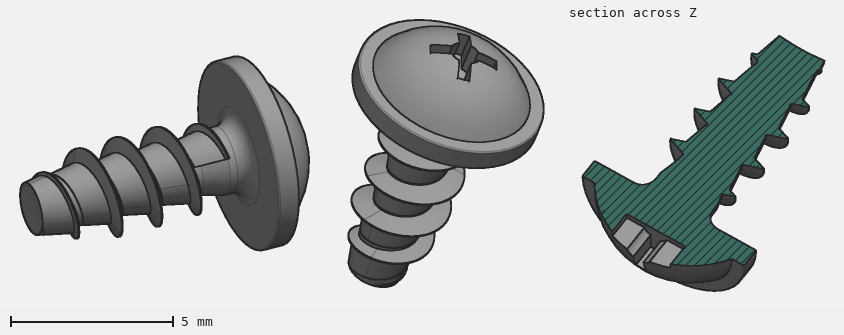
import cadquery as cq
import math


flange_radius = 3.0
flange_height = 0.7
flange_edge_round = 0.05
dome_radius = 3.0
dome_rise = 1.405

recess_radius = 1.08
recess_core_radius = 0.46
recess_wing_width = 0.38
recess_depth = 1.0

shank_length = 7.0
neck_radius = 1.06
neck_end = 0.755
neck_taper = math.tan(math.radians(13))
underhead_fillet = 0.5
core_radius = 0.868
core_end_radius = 0.83
core_end_length = 0.2
tip_radius = 0.835
tip_rim_width = 0.07
tip_dish_depth = 0.05
core_taper = math.tan(math.radians(10.5))

pitch = 1.34
crest_radius = 1.5
half_crest = 0.02
flank_slope = 0.36
thread_foot_radius = 0.8
start_angle = math.radians(36)
start_depth = 0.754
run_in_turns = 0.9
full_turns = 2.25
run_out_turns = 1.5
run_in_radius = 1.2
run_out_radius = 0.84
thread_turns = run_in_turns + full_turns + run_out_turns
segments = 10
thread_stations = [thread_turns * i / segments for i in range(segments + 1)]

ridge_radius = 1.08
ridge_end = 1.05

samples_per_turn = 24
overlap = 0.2


def on_axis(depth):
    """XZ plane placed at the given depth below the flange."""
    return cq.Workplane("XZ", origin=(0, -depth, 0))


def half_section():
    """Plane with radius (toward +Z) as local x and Y as local y."""
    return cq.Workplane(cq.Plane(origin=(0, 0, 0), xDir=(0, 0, 1), normal=(-1, 0, 0)))


def revolve(profile):
    """Turn a closed (radius, Y) profile about the Y axis."""
    return profile.close().revolve(360, (0, 0, 0), (0, 1, 0))


def make_head():
    flange = revolve(
        half_section()
        .lineTo(flange_radius, 0)
        .lineTo(flange_radius, flange_height)
        .lineTo(0, flange_height)
    )
    flange = flange.edges("%CIRCLE").fillet(flange_edge_round)
    apex = flange_height + dome_rise
    ball = cq.Workplane("XY").sphere(dome_radius).translate((0, apex - dome_radius, 0))
    dome_side = 2 * dome_radius
    above_flange = cq.Workplane("XY").box(dome_side, dome_rise, dome_side).translate(
        (0, flange_height + dome_rise / 2, 0)
    )
    head = flange.union(ball.intersect(above_flange))
    return head.cut(make_recess(apex))


def make_recess(apex):
    """Cross with a round center, sunk into the dome to a flat floor."""
    floor = on_axis(recess_depth - apex)
    core = floor.circle(recess_core_radius).extrude(-recess_depth)
    disc = floor.circle(recess_radius).extrude(-recess_depth)
    wing_length = 2 * recess_radius
    wings = floor.rect(wing_length, recess_wing_width).extrude(-recess_depth)
    wings = wings.union(floor.rect(recess_wing_width, wing_length).extrude(-recess_depth))
    return core.union(wings.intersect(disc))


def make_core():
    """Fillet under the head, short cylinder, cone, straight core and tapered tip."""
    fillet_outer = neck_radius + underhead_fillet
    fillet_middle = fillet_outer - underhead_fillet * math.sin(math.pi / 4)
    cone_length = (neck_radius - core_radius) / neck_taper
    return revolve(
        half_section()
        .moveTo(0, overlap)
        .lineTo(fillet_outer, overlap)
        .lineTo(fillet_outer, 0)
        .threePointArc(
            (fillet_middle, underhead_fillet * (math.sin(math.pi / 4) - 1)),
            (neck_radius, -underhead_fillet),
        )
        .lineTo(neck_radius, -neck_end)
        .lineTo(core_radius, -neck_end - cone_length)
        .lineTo(core_radius, -shank_length + core_end_length)
        .lineTo(core_end_radius, -shank_length)
        .lineTo(0, -shank_length)
    )


def helical_point(corner_at, turn):
    """Point of a right-handed helix; corner_at gives (radius, depth past the crest)."""
    angle = start_angle + 2 * math.pi * turn
    radius, shift = corner_at(turn)
    depth = crest_depth_at(turn) + shift
    return cq.Vector(radius * math.cos(angle), -depth, radius * math.sin(angle))


def helical_edge(corner_at, first, last):
    count = math.ceil((last - first) * samples_per_turn)
    turns = [first + (last - first) * i / count for i in range(count + 1)]
    return cq.Edge.makeSpline([helical_point(corner_at, turn) for turn in turns])


def helical_solid(corners, stations):
    """Carry a section, given as a loop of corner functions, along the helix."""
    faces = []
    for first, last in zip(stations, stations[1:]):
        edges = [helical_edge(corner_at, first, last) for corner_at in corners]
        faces += [cq.Face.makeRuledSurface(a, b) for a, b in zip(edges, edges[1:] + edges[:1])]
    for turn in (stations[0], stations[-1]):
        section = [helical_point(corner_at, turn) for corner_at in corners]
        faces.append(cq.Face.makeFromWires(cq.Wire.makePolygon(section, close=True)))
    solid = cq.Solid.makeSolid(cq.Shell.makeShell(faces))
    return cq.Workplane("XY").newObject([solid.fix()])


def crest_depth_at(turn):
    return start_depth + pitch * turn


def crest_at(turn):
    """Crest radius, growing over the run-in and shrinking over the run-out."""
    if turn < run_in_turns:
        return run_in_radius + (crest_radius - run_in_radius) * turn / run_in_turns
    faded = max(0, turn - run_in_turns - full_turns) / run_out_turns
    return crest_radius + (run_out_radius - crest_radius) * faded


def tip_cone_radius(depth):
    return tip_radius + core_taper * (shank_length - depth)


def ridge_base_at(turn):
    """Ridge radius extrapolated to the crest position; the last turn follows the tip cone."""
    return min(ridge_radius, tip_cone_radius(crest_depth_at(turn)))


def ridge_root_at(turn):
    """Corner where the tip-side flank of the thread meets the ridge."""
    flank_height = crest_at(turn) - ridge_base_at(turn)
    shift = (half_crest + flank_slope * flank_height) / (1 - flank_slope * core_taper)
    return ridge_base_at(turn) - core_taper * shift, shift


def make_thread():
    """Thread flight together with the ridge on its tip side, rooted inside the core."""
    return helical_solid(
        [
            lambda turn: (thread_foot_radius, -half_crest - flank_slope * (crest_at(turn) - thread_foot_radius)),
            lambda turn: (crest_at(turn), -half_crest),
            lambda turn: (crest_at(turn), half_crest),
            ridge_root_at,
            lambda turn: (ridge_base_at(turn) - core_taper * ridge_end, ridge_end),
            lambda turn: (thread_foot_radius, ridge_end),
        ],
        thread_stations,
    )


def make_tip_dish():
    """Ball that leaves a shallow dish inside a narrow flat rim at the tip."""
    rim = tip_radius - tip_rim_width
    ball_radius = (rim**2 + tip_dish_depth**2) / (2 * tip_dish_depth)
    center = -shank_length + tip_dish_depth - ball_radius
    return cq.Workplane("XY").sphere(ball_radius).translate((0, center, 0))


def make_shank():
    shank = make_core().union(make_thread())
    past_tip = on_axis(shank_length).circle(flange_radius).extrude(pitch)
    return shank.cut(past_tip).cut(make_tip_dish())


result = make_head().union(make_shank())